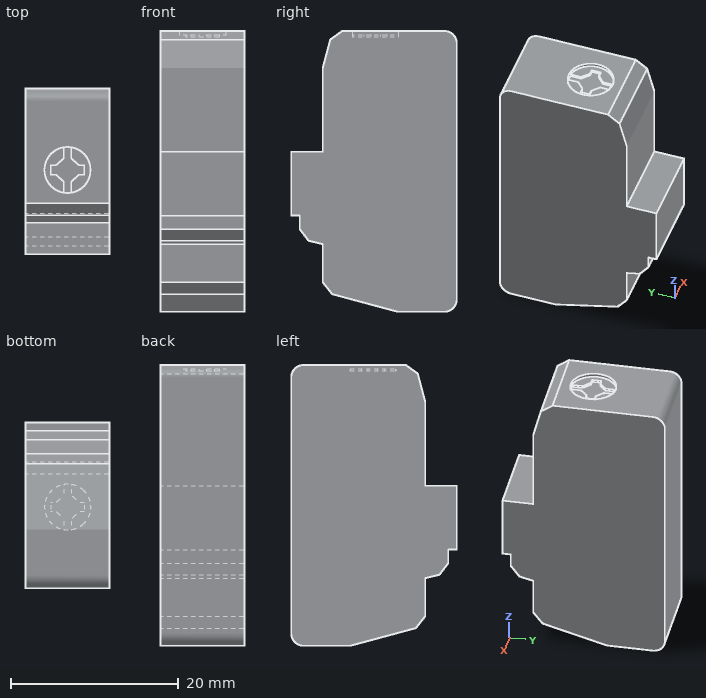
import cadquery as cq

width = 10.0
depth = 19.75
height = 33.5

body_front = 3.75
back_radius = 1.5
top_flat_front = 6.1
top_bend_y = 4.65
top_bend_z = 32.45
front_face_top = 29.05
front_face_bottom = 3.55
bottom_bend_y = 4.9
bottom_bend_z = 2.1
bottom_flat_front = 12.73

nose_top = 19.1
nose_bottom = 11.5
lip_front = 1.0
lip_bend_top = 9.88
lip_bend_y = 2.08
lip_bend_bottom = 8.48
lip_bottom = 8.07

screw_y = 10.05
screw_diameter = 5.5
screw_recess = 0.45
long_slot_width = 0.95
short_slot_width = 1.1
short_slot_length = 4.0
slot_flare = 1.37
slot_depth = 0.27


def make_housing():
    """Extruded side profile, with the two back edges rounded."""
    profile = [
        (depth, 0),
        (depth, height),
        (top_flat_front, height),
        (top_bend_y, top_bend_z),
        (body_front, front_face_top),
        (body_front, nose_top),
        (0, nose_top),
        (0, nose_bottom),
        (lip_front, nose_bottom),
        (lip_front, lip_bend_top),
        (lip_bend_y, lip_bend_bottom),
        (body_front, lip_bottom),
        (body_front, front_face_bottom),
        (bottom_bend_y, bottom_bend_z),
        (bottom_flat_front, 0),
    ]
    housing = cq.Workplane("YZ").polyline(profile).close().extrude(width / 2, both=True)
    return housing.faces(">Y").edges("|X").fillet(back_radius)


def make_screw_cut():
    """Round recess plus the cross slot sunk below its floor."""
    recess_floor = height - screw_recess
    floor_plane = cq.Workplane("XY", origin=(0, screw_y, recess_floor))
    recess = floor_plane.circle(screw_diameter / 2).extrude(screw_recess)

    long_slot = floor_plane.rect(long_slot_width, screw_diameter).extrude(-slot_depth)
    short_slot = floor_plane.rect(short_slot_length, short_slot_width).extrude(-slot_depth)
    half_long = long_slot_width / 2
    half_short = short_slot_width / 2
    flare_outline = [
        (half_long, slot_flare),
        (slot_flare, half_short),
        (slot_flare, -half_short),
        (half_long, -slot_flare),
        (-half_long, -slot_flare),
        (-slot_flare, -half_short),
        (-slot_flare, half_short),
        (-half_long, slot_flare),
    ]
    flare = floor_plane.polyline(flare_outline).close().extrude(-slot_depth)
    head = floor_plane.circle(screw_diameter / 2).extrude(-slot_depth)
    cross = long_slot.union(short_slot).union(flare).intersect(head)
    return recess.union(cross)


result = make_housing().cut(make_screw_cut())